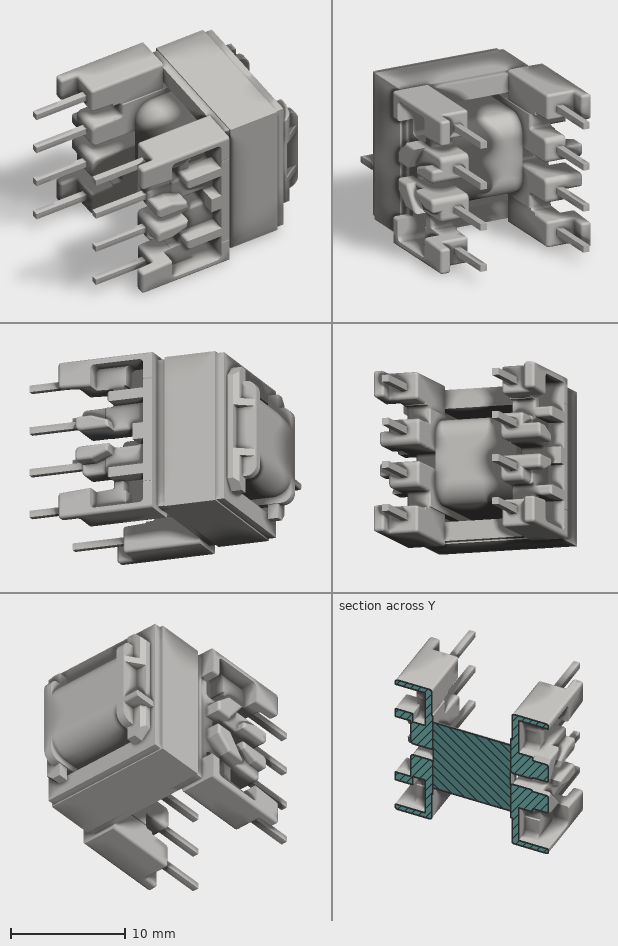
import cadquery as cq


CORE_X = 6.13
CORE_Y = 3.13
CORE_Z = 6.7
WINDOW_X = 4.55
OUTER_LEG_Z = 5.02
CENTRE_LEG_Z = 1.68

TAPE_X = 6.37
TAPE_Y = 2.37
TAPE_Z = 6.83

WINDING_X = 3.76
WINDING_Z = 3.76
WINDING_FRONT = -6.1
BACK_Y = 5.55
WINDING_RADIUS = 1.8
TUBE_WALL = 0.42

FLANGE_Z = 4.35
FLANGE_RADIUS = 0.97

LUG_X = (3.89, 5.65)
LUG_Y = (3.25, 4.25)
LUG_Z = 5.65
LUG_CHAMFER = 0.92
SLOPE_FOOT_Y = 3.78
SLOPE_TOP_Y = 5.42
RIB_Z = (1.97, 2.6)
KEY_TAB_X = -6.07
KEY_TAB_RADIUS = 0.2

SEAT_Y = -CORE_Y
BLOCK_X = 7.45
SHELF_Y = -3.95
SHELF_Z = 4.66
WALL_X = (3.89, 5.97)
WALL_LEDGE = 0.85
WALL_Y = -7.37
NOTCH_Y = -4.94
EDGE_RADIUS = 0.25
INNER_EDGE_RADIUS = 0.2

TOWER_X = 3.89
TOWER_TOP_Z = 7.12
TOWER_ROOT_Z = 4.55
TOWER_TIP_Z = 4.81
TOWER_FRONT = -10.4
FOOT_X = 6.47
FOOT_FRONT = -11.98
FOOT_CORNER_RADIUS = 0.2
POCKET_FRONT = -8.95
POCKET_TOP_Z = 6.55
POCKET_RADIUS = 0.42
DEEP_POCKET_FRONT = -6.18
DEEP_POCKET_STEP_Z = 4.81
DEEP_POCKET_STEP_FRONT = -6.39
DEEP_POCKET_X = 4.55

POST_Z = (0.74, 3.03)
POST_FRONT = -10.4
POST_CHAMFER_Y = -5.38
POST_CHAMFER_Z = 1.79
POST_RADIUS = 0.5
POST_EDGE_RADIUS = 0.25
CHANNEL_BACK_FOOT = (-5.5, POST_Z[0])
CHANNEL_BACK_HEAD = (-7.25, POST_Z[1])
CHANNEL_FLOOR_X = {-1: 6.6, 1: 5.85}
PAD_Z = 2.0
PAD_BEND = (-8.9, PAD_Z)
PAD_HEEL = (-7.37, 1.45)
PAD_FOOT = (-7.25, POST_Z[0])
GUIDE_Z = 3.93

PIN_SIZE = 0.6
PIN_TIP = -15.46
PIN_X = 5.08
PIN_PITCH = 3.82
PINS_PER_SIDE = 4

SIDES = (-1, 1)


def block(x, y, z):
    """A box between the given pairs of X, Y and Z, each pair in any order."""
    size = [abs(pair[1] - pair[0]) for pair in (x, y, z)]
    middle = [(pair[0] + pair[1]) / 2 for pair in (x, y, z)]
    return cq.Workplane("XY").box(*size).translate(tuple(middle))


def plate_yz(points, x):
    """A (Y, Z) outline extruded between two X values."""
    return cq.Workplane("YZ").polyline(points).close().extrude(x[1] - x[0]).translate((x[0], 0, 0))


def plate_xy(points, z):
    """An (X, Y) outline extruded between two Z values."""
    return cq.Workplane("XY").polyline(points).close().extrude(z[1] - z[0]).translate((0, 0, z[0]))


def both(half):
    """The given shape together with its mirror image at -Z."""
    return half.union(half.mirror("XY"))


def on_side(shape, side):
    """The shape as it is for the +X side, or mirrored for the -X side."""
    return shape if side > 0 else shape.mirror("YZ")


def make_core_half(side):
    """One E-shaped half, with its legs towards the parting plane."""
    core = block((0, side * CORE_X), (-CORE_Y, CORE_Y), (-CORE_Z, CORE_Z))
    window = block((0, side * WINDOW_X), (-CORE_Y, CORE_Y), (CENTRE_LEG_Z, OUTER_LEG_Z))
    return core.cut(both(window))


def make_tape():
    outside = block((-TAPE_X, TAPE_X), (-TAPE_Y, TAPE_Y), (-TAPE_Z, TAPE_Z))
    return outside.cut(block((-CORE_X, CORE_X), (-TAPE_Y, TAPE_Y), (-CORE_Z, CORE_Z)))


def tube_outside():
    """The outside of the bobbin tube, which the winding fits around."""
    depth = CORE_Y + TUBE_WALL
    height = CENTRE_LEG_Z + TUBE_WALL
    return block((-WINDING_X, WINDING_X), (-depth, depth), (-height, height))


def make_winding():
    coil = block((-WINDING_X, WINDING_X), (WINDING_FRONT, BACK_Y), (-WINDING_Z, WINDING_Z))
    return coil.edges("|X").fillet(WINDING_RADIUS).cut(tube_outside())


def make_flange():
    flange = block((WINDING_X, WINDOW_X), (WALL_Y - WALL_LEDGE, BACK_Y), (-FLANGE_Z, FLANGE_Z))
    flange = flange.edges("|X and >Y").fillet(FLANGE_RADIUS).cut(make_gaps())
    front_edges = cq.selectors.BoxSelector(
        (0, WALL_Y - WALL_LEDGE, -FLANGE_Z),
        (WINDOW_X, SHELF_Y, FLANGE_Z),
    )
    return flange.faces("<X").edges(front_edges).fillet(INNER_EDGE_RADIUS)


def make_lug():
    """The sloped lug behind the core and its two ribs."""
    inner, outer = LUG_X
    slope = [
        (inner, LUG_Y[0]),
        (outer, LUG_Y[0]),
        (outer, SLOPE_FOOT_Y),
        (WINDOW_X, SLOPE_TOP_Y),
        (inner, SLOPE_TOP_Y),
    ]
    bar = block(LUG_X, LUG_Y, (-LUG_Z, LUG_Z)).edges("|Y and >X").chamfer(LUG_CHAMFER)
    bar = bar.intersect(plate_xy(slope, (-LUG_Z, LUG_Z)))
    recess = block((WINDOW_X, outer), (SLOPE_FOOT_Y, LUG_Y[1]), (-RIB_Z[0], RIB_Z[0]))
    return bar.cut(recess).union(both(plate_xy(slope, RIB_Z)))


def make_key_tab():
    """The rib that stands out on the -X side only and marks the orientation."""
    tab = block((KEY_TAB_X, -WINDOW_X), (LUG_Y[0], BACK_Y), (-RIB_Z[1], -RIB_Z[0]))
    return tab.edges("|X").fillet(KEY_TAB_RADIUS)


def make_gaps():
    """The gaps between the towers and posts, each with a rounded root."""
    front = WALL_Y - WALL_LEDGE
    middle = block((0, BLOCK_X), (front, NOTCH_Y), (-POST_Z[0], POST_Z[0]))
    side = block((0, BLOCK_X), (front, WALL_Y), (POST_Z[1], TOWER_ROOT_Z))
    middle = middle.edges("|X and >Y").fillet(EDGE_RADIUS)
    return middle.union(both(side.edges("|X and >Y").fillet(EDGE_RADIUS)))


def make_wall():
    """The wall that carries the towers and posts."""
    half_height = TOWER_ROOT_Z + WALL_LEDGE
    wall = block(WALL_X, (WALL_Y - WALL_LEDGE, SEAT_Y), (-half_height, half_height)).cut(make_gaps())
    return wall.faces(">X").edges().fillet(EDGE_RADIUS)


def make_tower():
    """A rounded corner tower with a foot at its outer front end."""
    plan = [
        (TOWER_X, SEAT_Y),
        (BLOCK_X, SEAT_Y),
        (BLOCK_X, FOOT_FRONT),
        (FOOT_X, FOOT_FRONT),
        (FOOT_X, TOWER_FRONT),
        (TOWER_X, TOWER_FRONT),
    ]
    elevation = [
        (SEAT_Y, TOWER_TOP_Z),
        (FOOT_FRONT, TOWER_TOP_Z),
        (FOOT_FRONT, TOWER_TIP_Z),
        (WALL_Y, TOWER_ROOT_Z),
        (SEAT_Y, TOWER_ROOT_Z),
    ]
    tower = plate_xy(plan, (0, TOWER_TOP_Z))
    inner_corner = cq.selectors.NearestToPointSelector((FOOT_X, TOWER_FRONT, TOWER_TOP_Z / 2))
    tower = tower.edges("|Z").edges(inner_corner).fillet(FOOT_CORNER_RADIUS)
    tower = tower.intersect(plate_yz(elevation, (0, BLOCK_X)))
    return tower.edges("not(>Y)").fillet(EDGE_RADIUS)


def make_pocket():
    """The hollow in the outer face of a tower, open towards the post."""
    bottom, top = POST_Z[1], POCKET_TOP_Z
    shallow = block((WALL_X[1], BLOCK_X), (POCKET_FRONT, SHELF_Y), (bottom, top))
    deep = block((DEEP_POCKET_X, BLOCK_X), (DEEP_POCKET_FRONT, SHELF_Y), (bottom, top))
    step = block((DEEP_POCKET_X, BLOCK_X), (DEEP_POCKET_STEP_FRONT, SHELF_Y), (bottom, DEEP_POCKET_STEP_Z))
    pocket = shallow.edges("|X and >Z").fillet(POCKET_RADIUS)
    pocket = pocket.union(deep.edges("|X").fillet(POCKET_RADIUS))
    return pocket.union(step.edges("|X and <Z").fillet(POCKET_RADIUS))


def post_outline(x):
    """The rounded side outline of a post between two X values."""
    bottom, top = POST_Z
    outline = [
        (SHELF_Y, bottom),
        (SHELF_Y, POST_CHAMFER_Z),
        (POST_CHAMFER_Y, top),
        (POST_FRONT, top),
        (POST_FRONT, bottom),
    ]
    return plate_yz(outline, x).edges("|X and <Y").fillet(POST_RADIUS)


def make_post(side):
    """A post whose outer end is crossed by a wire channel."""
    floor = CHANNEL_FLOOR_X[side]
    post = post_outline((WINDING_X, floor)).faces("<X or >X").edges().fillet(POST_EDGE_RADIUS)
    outer_end = post_outline((floor - POST_EDGE_RADIUS, BLOCK_X)).cut(make_wire_channel(side))
    pad_tip = cq.selectors.NearestToPointSelector((floor, POST_FRONT, PAD_Z))
    outer_end = outer_end.edges("|X").edges(pad_tip).fillet(POST_EDGE_RADIUS)
    for piece in outer_end.solids().vals():
        piece = cq.Workplane(piece).faces(">X").edges().fillet(POST_EDGE_RADIUS)
        post = post.union(piece)
    return post


def make_wire_channel(side):
    """The channel beside the pad: bent on the -X side, open towards the core on the +X side."""
    bottom, top = POST_Z
    back = [CHANNEL_BACK_FOOT, CHANNEL_BACK_HEAD] if side < 0 else [(SHELF_Y, bottom), (SHELF_Y, top)]
    pad = [(POST_FRONT, PAD_Z), PAD_BEND, PAD_HEEL, PAD_FOOT]
    return plate_yz(back + [(POST_FRONT, top)] + pad, (WINDING_X, BLOCK_X))


def make_shelf():
    """The shelf that closes the outer side of the +X block, with its wire guides."""
    inner = WALL_X[1] - EDGE_RADIUS
    shelf = block((inner, BLOCK_X), (SHELF_Y, SEAT_Y), (-SHELF_Z, SHELF_Z))
    middle = block((inner, BLOCK_X), (NOTCH_Y, SEAT_Y), (-POST_Z[0], POST_Z[0]))
    guide = block((inner, BLOCK_X), (WALL_Y, SEAT_Y), (POST_Z[1], GUIDE_Z))
    guide = guide.faces("<Y").edges("|X or >X").fillet(EDGE_RADIUS)
    return shelf.union(middle).union(both(guide))


def make_terminal_block(side):
    """Everything of the bobbin on one side, apart from the pins and the key tab."""
    base = make_flange().union(make_wall()).union(make_lug()).cut(both(make_pocket()))
    base = base.union(both(make_tower().cut(make_pocket())))
    base = base.union(both(make_post(side)))
    if side > 0:
        base = base.union(make_shelf())
    return on_side(base, side)


def make_pins():
    half = PIN_SIZE / 2
    pins = cq.Workplane("XY")
    for x in (-PIN_X, PIN_X):
        for row in range(PINS_PER_SIDE):
            z = (row - (PINS_PER_SIDE - 1) / 2) * PIN_PITCH
            pins = pins.union(block((x - half, x + half), (PIN_TIP, WALL_Y), (z - half, z + half)))
    return pins


def make_bobbin():
    bobbin = tube_outside().union(make_key_tab())
    for side in SIDES:
        bobbin = bobbin.union(make_terminal_block(side))
    bobbin = bobbin.union(make_pins())
    return bobbin.cut(block((-CORE_X, CORE_X), (-CORE_Y, CORE_Y), (-CENTRE_LEG_Z, CENTRE_LEG_Z)))


bobbin = make_bobbin()
winding = make_winding()
core_halves = [make_core_half(side) for side in SIDES]
tape = make_tape()

result = cq.Compound.makeCompound(
    [bobbin.val(), winding.val(), *[half.val() for half in core_halves], tape.val()]
)